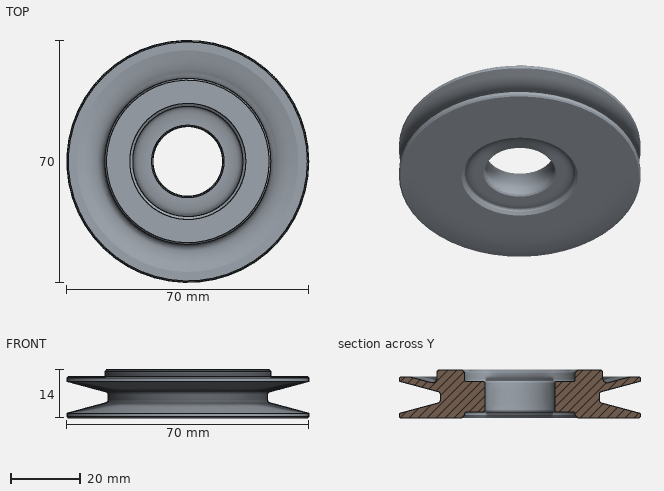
import cadquery as cq
import math

outer_radius = 35.0
total_height = 14.0
rim_height = 12.05
flange_edge = 1.4
flange_chamfer = 0.4
cone_angle = 15.0

groove_floor_radius = 23.1
groove_fillet = 0.7

hub_radius = 24.0
hub_chamfer = 0.5
hub_fillet = 1.3
dish_radius = 32.05

recess_radius = 15.95
recess_depth = 3.35
lower_recess_depth = 1.7
recess_chamfer = 0.85
recess_fillet = 0.5
bore_radius = 10.1
bore_chamfer = 0.4

cone_slope = math.tan(math.radians(cone_angle))
recess_floor = total_height - recess_depth
groove_drop = (outer_radius - groove_floor_radius) * cone_slope
dish_drop = (dish_radius - hub_radius) * cone_slope


def revolve_profile(points):
    """Turn a closed (radius, height) outline about Z."""
    return cq.Workplane("XZ").polyline(points).close().revolve(360, (0, 0, 0), (0, 1, 0))


def select_circle(body, radius, height):
    """Pick the circular edges of a given radius at a given height."""
    margin = 0.01
    return body.edges(
        cq.selectors.BoxSelector(
            (-radius - margin, -radius - margin, height - margin),
            (radius + margin, radius + margin, height + margin),
            boundingbox=True,
        )
    ).edges(cq.selectors.RadiusNthSelector(-1))


rim = cq.Workplane("XY").circle(outer_radius).extrude(rim_height)
rim = rim.faces("<Z or >Z").edges().chamfer(flange_chamfer)
hub = cq.Workplane("XY").circle(hub_radius).extrude(total_height)
hub = hub.faces(">Z").edges().chamfer(hub_chamfer)
body = rim.union(hub)

lower_floor = flange_edge + groove_drop
upper_floor = rim_height - lower_floor
body = body.cut(revolve_profile([
    (outer_radius, flange_edge),
    (groove_floor_radius, lower_floor),
    (groove_floor_radius, upper_floor),
    (outer_radius, rim_height - flange_edge),
]))
for height in (lower_floor, upper_floor):
    body = select_circle(body, groove_floor_radius, height).fillet(groove_fillet)

dish_floor = rim_height - dish_drop
body = body.cut(revolve_profile([
    (dish_radius, rim_height),
    (hub_radius, rim_height),
    (hub_radius, dish_floor),
]))
body = select_circle(body, hub_radius, dish_floor).fillet(hub_fillet)

recess = cq.Workplane("XY").workplane(offset=recess_floor).circle(recess_radius).extrude(recess_depth)
body = body.cut(recess)
body = select_circle(body, recess_radius, total_height).chamfer(recess_chamfer)
body = select_circle(body, recess_radius, recess_floor).fillet(recess_fillet)

lower_recess = cq.Workplane("XY").circle(recess_radius).extrude(lower_recess_depth)
body = body.cut(lower_recess)
body = select_circle(body, recess_radius, 0).chamfer(recess_chamfer)
body = select_circle(body, recess_radius, lower_recess_depth).fillet(recess_fillet)

bore = cq.Workplane("XY").circle(bore_radius).extrude(total_height)
body = body.cut(bore)
for height in (lower_recess_depth, recess_floor):
    body = select_circle(body, bore_radius, height).chamfer(bore_chamfer)

result = body